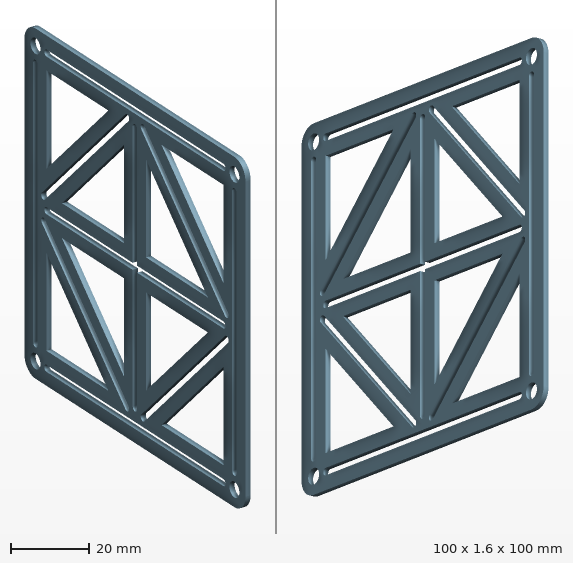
import cadquery as cq
import math

side = 100.0
thickness = 1.6
corner_radius = 5.0

hole_diameter = 4.5
hole_offset = side / 2 - corner_radius

slot_width = 2.0
slot_length = 82.0
diagonal_end_near = 3.6
diagonal_end_far = 41.4

window_leg = 28.0
inner_corner = 5.0
outer_corner = 40.0

quadrants = [(sx, sz) for sx in (-1, 1) for sz in (-1, 1)]


def sketch_plane():
    """Plane through the middle of the plate, with local x = X and local y = Z."""
    return cq.Workplane("XZ")


def cut_tool(outline):
    return outline.extrude(thickness, both=True)


def slot(center, length, angle):
    return cut_tool(sketch_plane().center(*center).slot2D(length, slot_width, angle))


def triangle(corner, leg_x, leg_z):
    """Right-angled window with its square corner at the given point."""
    x, z = corner
    return cut_tool(sketch_plane().polyline([(x, z), (x + leg_x, z), (x, z + leg_z)]).close())


plate = sketch_plane().rect(side, side).extrude(thickness / 2, both=True)
result = plate.edges("|Y").fillet(corner_radius)

hole_points = [(sx * hole_offset, sz * hole_offset) for sx, sz in quadrants]
result = result.cut(cut_tool(sketch_plane().pushPoints(hole_points).circle(hole_diameter / 2)))

for offset in (-hole_offset, 0, hole_offset):
    result = result.cut(slot((0, offset), slot_length, 0))
    result = result.cut(slot((offset, 0), slot_length, 90))

diagonal_middle = (diagonal_end_near + diagonal_end_far) / 2
diagonal_length = (diagonal_end_far - diagonal_end_near) * math.sqrt(2) + slot_width
for sx, sz in quadrants:
    middle = (sx * diagonal_middle, sz * diagonal_middle)
    result = result.cut(slot(middle, diagonal_length, -45 * sx * sz))
    inner = (sx * inner_corner, sz * inner_corner)
    result = result.cut(triangle(inner, sx * window_leg, sz * window_leg))
    outer = (sx * outer_corner, sz * outer_corner)
    result = result.cut(triangle(outer, -sx * window_leg, -sz * window_leg))